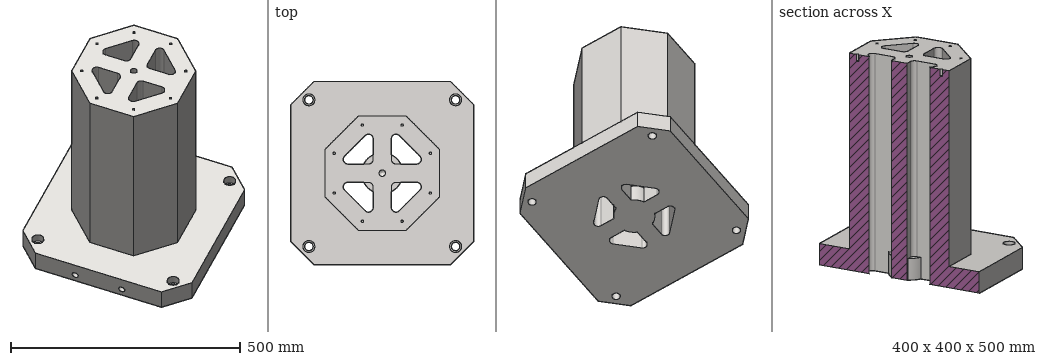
import cadquery as cq
import math

base_width = 400
base_height = 50
base_corner_cut = 51.0

total_height = 500
column_width = 250
column_sides = 8

web_thickness = 40
window_edge_sum = 119.0
window_corner_radius = 10
hub_diameter = 90

mount_offset = 160
mount_diameter = 18.0
mount_counterbore_diameter = 26.0
mount_counterbore_depth = 20

tapped_diameter = 14.0
tapped_depth = 30
drill_point_angle = 118
side_hole_spacing = 110
side_hole_height = 18.5
cover_hole_diameter = 5
cover_hole_depth = 15
cover_hole_circle_radius = 113.5


def make_base():
    plate = cq.Workplane("XY").box(base_width, base_width, base_height, centered=(True, True, False))
    return plate.edges("|Z").chamfer(base_corner_cut)


def make_column():
    corner_circle_diameter = column_width / math.cos(math.pi / column_sides)
    return (
        cq.Workplane("XY")
        .polygon(column_sides, corner_circle_diameter)
        .extrude(total_height)
        .rotate((0, 0, 0), (0, 0, 1), 180 / column_sides)
    )


def make_windows():
    near = web_thickness / 2
    far = window_edge_sum - near
    window = (
        cq.Workplane("XY")
        .polyline([(near, near), (far, near), (near, far)])
        .close()
        .extrude(total_height)
        .edges("|Z")
        .fillet(window_corner_radius)
    )
    windows = window
    for quarter_turn in (90, 180, 270):
        windows = windows.union(window.rotate((0, 0, 0), (0, 0, 1), quarter_turn))
    return windows


def blind_hole(diameter, depth, start, direction):
    """Drilled hole with a conical bottom; depth is that of the full-diameter part."""
    radius = diameter / 2
    tip_length = radius / math.tan(math.radians(drill_point_angle / 2))
    origin = cq.Vector(*start)
    axis = cq.Vector(*direction)
    shaft = cq.Solid.makeCylinder(radius, depth, origin, axis)
    tip = cq.Solid.makeCone(radius, 0, tip_length, origin + axis * depth, axis)
    return shaft.fuse(tip)


def corner_cylinders(diameter, bottom, height):
    """Upright cylinders at the four mounting positions."""
    return (
        cq.Workplane("XY", origin=(0, 0, bottom))
        .rect(2 * mount_offset, 2 * mount_offset, forConstruction=True)
        .vertices()
        .circle(diameter / 2)
        .extrude(height)
    )


hub = cq.Workplane("XY").circle(hub_diameter / 2).extrude(base_height)
result = make_base().union(make_column()).cut(make_windows().cut(hub))

counterbore_floor = base_height - mount_counterbore_depth
mount_holes = corner_cylinders(mount_diameter, 0, base_height)
counterbores = corner_cylinders(mount_counterbore_diameter, counterbore_floor, mount_counterbore_depth)
result = result.cut(mount_holes).cut(counterbores)

top_hole = blind_hole(tapped_diameter, tapped_depth, (0, 0, total_height), (0, 0, -1))
result = result.cut(cq.Workplane(top_hole))

for side in (-1, 1):
    start = (side * side_hole_spacing / 2, -base_width / 2, side_hole_height)
    side_hole = blind_hole(tapped_diameter, tapped_depth, start, (0, 1, 0))
    result = result.cut(cq.Workplane(side_hole))

for index in range(column_sides):
    angle = (index + 0.5) * 2 * math.pi / column_sides
    x = cover_hole_circle_radius * math.cos(angle)
    y = cover_hole_circle_radius * math.sin(angle)
    hole = blind_hole(cover_hole_diameter, cover_hole_depth, (x, y, total_height), (0, 0, -1))
    result = result.cut(cq.Workplane(hole))